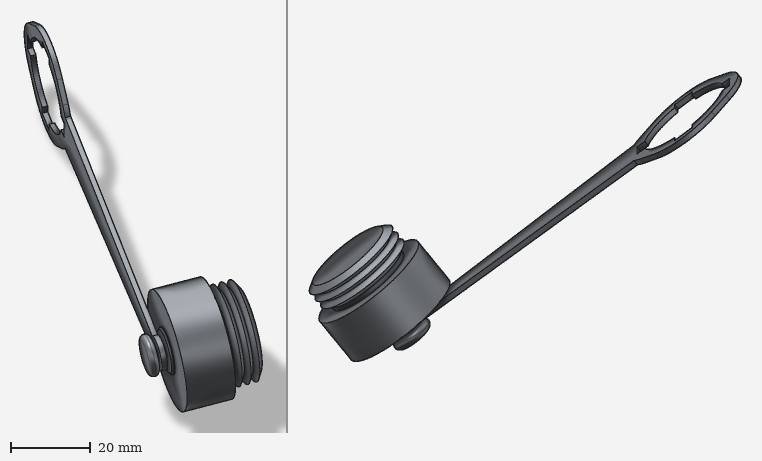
import cadquery as cq
import math


cap_radius = 15.9
cap_length = 12.8

plug_length = 8.5
root_radius = 11.2
crest_radius = 13.3
thread_count = 3
thread_pitch = 2.3
tooth_half_width = 1.3
plug_end = cap_length + plug_length

collar_radius = 6.2
collar_thickness = 0.7
collar_chamfer = 0.5
shaft_radius = 2.1
shaft_length = 2.8
head_radius = 5.5
head_rim_radius = 1.2
dome_height = 0.2
collar_front = -collar_thickness
head_back = collar_front - shaft_length
head_front = head_back - 2 * head_rim_radius

strap_thickness = 1.5
strap_back = collar_front - (shaft_length - strap_thickness) / 2
strap_length = 89.0
eyelet_radius = 4.5
arm_half_width_at_ring = 6.4
arm_half_width_at_eyelet = 2.9

ring_reach = 17.3
ring_corner_radius = 12.7
ring_flat_angle = 45
ring_hole_radius = 12.6
notch_reach = 14.7
notch_width = 5.6
ring_x = -strap_length


def make_cap():
    """Cap, threaded plug, collar, shaft and head, revolved about the Y axis as one solid."""
    profile = cq.Workplane("XY").moveTo(0, plug_end)
    profile = profile.lineTo(root_radius, plug_end).lineTo(root_radius, cap_length)
    profile = profile.lineTo(cap_radius, cap_length).lineTo(cap_radius, 0)
    profile = profile.lineTo(collar_radius, 0)
    profile = profile.lineTo(collar_radius, collar_front + collar_chamfer)
    profile = profile.lineTo(collar_radius - collar_chamfer, collar_front)
    profile = profile.lineTo(shaft_radius, collar_front).lineTo(shaft_radius, head_back)

    rim_centre = head_radius - head_rim_radius
    rim_middle = head_back - head_rim_radius
    profile = profile.lineTo(rim_centre, head_back)
    profile = profile.radiusArc((head_radius, rim_middle), head_rim_radius)
    profile = profile.radiusArc((rim_centre, head_front), head_rim_radius)
    dome_radius = (rim_centre**2 + dome_height**2) / (2 * dome_height)
    profile = profile.radiusArc((0, head_front - dome_height), dome_radius)
    cap = profile.close().revolve(360, (0, 0, 0), (0, 1, 0))

    for i in range(thread_count):
        cap = cap.union(make_thread_ridge(plug_end - tooth_half_width - i * thread_pitch))
    return cap


def make_thread_ridge(crest_y):
    """One V-shaped ring of the thread, with its crest at crest_y."""
    return (
        cq.Workplane("XY")
        .moveTo(0, crest_y + tooth_half_width)
        .lineTo(root_radius, crest_y + tooth_half_width)
        .lineTo(crest_radius, crest_y)
        .lineTo(root_radius, crest_y - tooth_half_width)
        .lineTo(0, crest_y - tooth_half_width)
        .close()
        .revolve(360, (0, 0, 0), (0, 1, 0))
    )


def strap_plane():
    """Sketch plane on the strap's back face; extrusions go toward -Y."""
    return cq.Workplane("XZ", origin=(0, strap_back, 0))


def make_strap():
    """Notched ring, tapered arm and eyelet in one flat piece."""
    corner_offset = ring_reach - ring_corner_radius
    flat_distance = corner_offset * math.cos(math.radians(ring_flat_angle)) + ring_corner_radius
    ring = (
        strap_plane()
        .center(ring_x, 0)
        .transformed(rotate=(0, 0, ring_flat_angle))
        .rect(2 * flat_distance, 2 * flat_distance)
        .extrude(strap_thickness)
        .edges("|Y")
        .fillet(ring_corner_radius)
    )

    arm_start = ring_x + flat_distance * math.sqrt(2) - arm_half_width_at_ring
    arm_end = -math.sqrt(eyelet_radius**2 - arm_half_width_at_eyelet**2)
    arm = (
        strap_plane()
        .moveTo(ring_x, -arm_half_width_at_ring)
        .lineTo(arm_start, -arm_half_width_at_ring)
        .lineTo(arm_end, -arm_half_width_at_eyelet)
        .lineTo(arm_end, arm_half_width_at_eyelet)
        .lineTo(arm_start, arm_half_width_at_ring)
        .lineTo(ring_x, arm_half_width_at_ring)
        .close()
        .extrude(strap_thickness)
    )
    eyelet = strap_plane().circle(eyelet_radius).extrude(strap_thickness)

    opening = strap_plane().center(ring_x, 0).circle(ring_hole_radius).extrude(strap_thickness)
    for size in ((2 * notch_reach, notch_width), (notch_width, 2 * notch_reach)):
        opening = opening.union(strap_plane().center(ring_x, 0).rect(*size).extrude(strap_thickness))
    shaft_hole = strap_plane().circle(shaft_radius).extrude(strap_thickness)

    strap = ring.union(arm).union(eyelet)
    return strap.cut(opening).cut(shaft_hole)


cap = make_cap()
strap = make_strap()
result = cq.Compound.makeCompound([cap.val(), strap.val()])